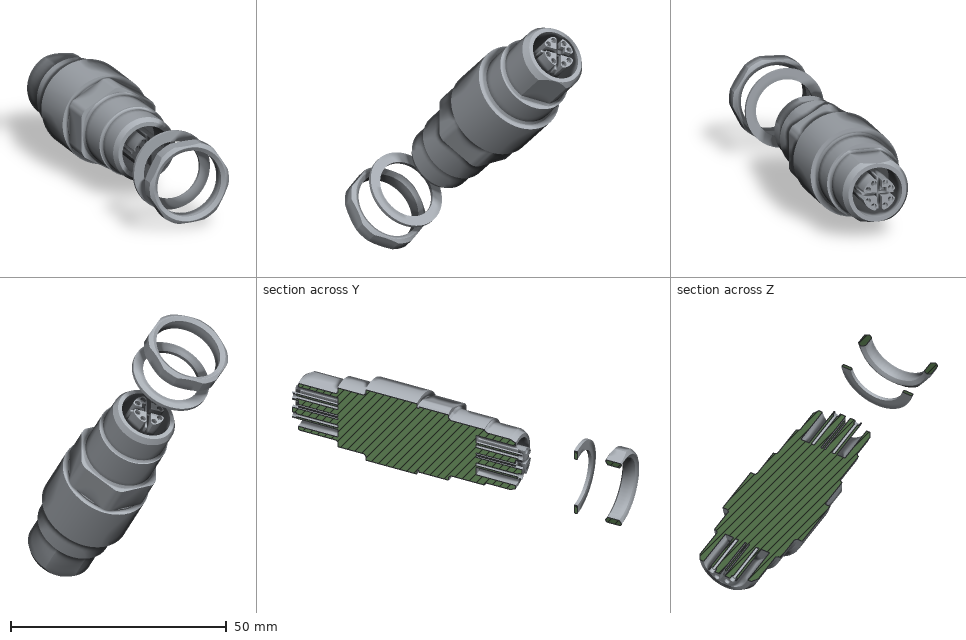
import cadquery as cq
import math

CORE_PROTRUSION = 1.6
NOSE_START = CORE_PROTRUSION
NOSE_CHAMFER_END = 3.1
SHOULDER_START = 11.5
BARREL_START = 18.5
BARREL_END = 31.45
HEX_START = 31.9
HEX_END = 39.4
THREAD_END = 48.5
TAIL_CHAMFER_START = 54.95
TAIL_END = 56.35
HOUSING_MIDDLE = (NOSE_START + TAIL_END) / 2

NOSE_DIAMETER = 15.9
SHOULDER_DIAMETER = 18.0
BARREL_DIAMETER = 21.5
NECK_DIAMETER = 19.0
THREAD_DIAMETER = 17.0
TAIL_DIAMETER = 15.5
END_FACE_DIAMETER = 14.0
SOCKET_DIAMETER = 12.0
SOCKET_DEPTH = 10.0

FOOT_SIZE = 0.5
FOOT_SLOPE = 45

NOSE_FLAT_WIDTH = 14.1
HEX_WIDTH = 18.5
HEX_CORNER_WIDTH = 20.5
HEX_CORNER_FILLET = 1.7

CORE_DIAMETER = 8.0
SLOT_WIDTH = 1.2
SLOT_MOUTH_BEVEL = 0.5
SHIELD_WIDTH = 7.8
SHIELD_THICKNESS = 0.5
KEY_NOTCH_EDGE = 1.7
CONTACT_NEAR = 1.37
CONTACT_FAR = 2.7
CONTACT_DIAMETER = 1.3
CONTACT_DEPTH = 1.0
CONTACT_HOLE_DIAMETER = 0.72

WASHER_START = 71.05
WASHER_THICKNESS = 0.8
WASHER_OUTER_DIAMETER = 19.0
WASHER_INNER_DIAMETER = 14.0

NUT_END = 83.0
NUT_THICKNESS = 4.15
NUT_WIDTH = 18.75
NUT_CORNER_DIAMETER = 19.8
NUT_FACE_DIAMETER = 18.0
NUT_CHAMFER_LENGTH = 0.6
NUT_TURN = 3.0
NUT_BORE_DIAMETER = 15.9
NUT_MOUTH_DIAMETER = 17.85
NUT_MOUTH_LENGTH = 0.6


def plane_at(x):
    """Workplane across the axis: local x is Y, local y is Z, and it extrudes toward +X."""
    return cq.Workplane("YZ", origin=(x, 0, 0))


def turn(body, angle):
    """Rotate a body about the X axis."""
    return body.rotate((0, 0, 0), (1, 0, 0), angle)


def cylinder(start, end, diameter):
    return plane_at(start).circle(diameter / 2).extrude(end - start)


def cone(start, end, start_diameter, end_diameter):
    """Truncated cone about X."""
    profile = [(start, 0), (end, 0), (end, end_diameter / 2), (start, start_diameter / 2)]
    return cq.Workplane("XY").polyline(profile).close().revolve(360, (0, 0, 0), (1, 0, 0))


def rising_foot(end, diameter):
    """Cone that widens toward +X up to the step at `end`."""
    return cone(end - FOOT_SIZE, end, diameter, diameter + 2 * FOOT_SIZE)


def falling_foot(start, diameter):
    """Cone that narrows toward +X from the step at `start`."""
    return cone(start, start + FOOT_SIZE, diameter + 2 * FOOT_SIZE, diameter)


def hexagon(start, end, width):
    """Hexagonal bar with two of its flats facing along Z."""
    return plane_at(start).polygon(6, width / math.cos(math.pi / 6)).extrude(end - start)


def make_nose():
    """Front sleeve with two flats, a chamfered mouth and a foot that follows the flats."""
    sleeve = cone(NOSE_START, NOSE_CHAMFER_END, END_FACE_DIAMETER, NOSE_DIAMETER)
    sleeve = sleeve.union(cylinder(NOSE_CHAMFER_END, SHOULDER_START, NOSE_DIAMETER))
    flats_width = 2 * NOSE_DIAMETER
    sleeve_length = SHOULDER_START - NOSE_START
    flats = plane_at(NOSE_START).rect(flats_width, NOSE_FLAT_WIDTH).extrude(sleeve_length)

    foot_plane = plane_at(SHOULDER_START - FOOT_SIZE)
    foot_flats = foot_plane.rect(flats_width, NOSE_FLAT_WIDTH).extrude(FOOT_SIZE, taper=-FOOT_SLOPE)
    foot = rising_foot(SHOULDER_START, NOSE_DIAMETER).intersect(foot_flats)
    return sleeve.intersect(flats).union(foot)


def make_hex_collar():
    """Hexagon with two flats facing along Y and its corners cut off and rounded."""
    flats = turn(hexagon(HEX_START, HEX_END, HEX_WIDTH), 30)
    corner_cuts = hexagon(HEX_START, HEX_END, HEX_CORNER_WIDTH)
    return flats.intersect(corner_cuts).edges("|X").fillet(HEX_CORNER_FILLET)


def make_slot_arm(length):
    """One arm of the cross slot, reaching from the axis toward +Z and widening at its mouth."""
    half_slot = SLOT_WIDTH / 2
    half_mouth = half_slot + SLOT_MOUTH_BEVEL
    mouth_height = math.sqrt((CORE_DIAMETER / 2) ** 2 - half_mouth ** 2)
    bevel_foot = mouth_height - SLOT_MOUTH_BEVEL
    right_side = [
        (half_slot, 0),
        (half_slot, bevel_foot),
        (half_mouth, mouth_height),
        (half_mouth, CORE_DIAMETER),
    ]
    left_side = [(-y, z) for y, z in reversed(right_side)]
    return plane_at(0).polyline(right_side + left_side).close().extrude(length)


def make_core():
    """Contact core of the front socket: four quarters with two contacts each, around a shield cross."""
    length = CORE_PROTRUSION + SOCKET_DEPTH
    core = cylinder(0, length, CORE_DIAMETER)
    slot_arm = make_slot_arm(length)
    for angle in (0, 90, 180, 270):
        core = core.cut(turn(slot_arm, angle))

    notch_middle = KEY_NOTCH_EDGE / 2
    notch = plane_at(0).center(-notch_middle, notch_middle).rect(KEY_NOTCH_EDGE, KEY_NOTCH_EDGE)
    core = core.cut(notch.extrude(CORE_PROTRUSION))

    shield = plane_at(NOSE_START).rect(SHIELD_WIDTH, SHIELD_THICKNESS).extrude(SOCKET_DEPTH)
    core = core.union(shield).union(turn(shield, 90))

    contacts = [
        (side_y * y, side_z * z)
        for side_y in (-1, 1)
        for side_z in (-1, 1)
        for y, z in ((CONTACT_NEAR, CONTACT_FAR), (CONTACT_FAR, CONTACT_NEAR))
    ]
    core = core.cut(plane_at(0).pushPoints(contacts).circle(CONTACT_DIAMETER / 2).extrude(CONTACT_DEPTH))
    return core.cut(plane_at(0).pushPoints(contacts).circle(CONTACT_HOLE_DIAMETER / 2).extrude(length))


def make_housing():
    """Stepped body with a socket and a contact core at both ends."""
    sections = [
        cylinder(SHOULDER_START, BARREL_START, SHOULDER_DIAMETER),
        rising_foot(BARREL_START, SHOULDER_DIAMETER),
        cylinder(BARREL_START, BARREL_END, BARREL_DIAMETER),
        cylinder(BARREL_END, HEX_START, NECK_DIAMETER),
        make_hex_collar(),
        falling_foot(HEX_END, THREAD_DIAMETER),
        cylinder(HEX_END, THREAD_END, THREAD_DIAMETER),
        falling_foot(THREAD_END, TAIL_DIAMETER),
        cylinder(THREAD_END, TAIL_CHAMFER_START, TAIL_DIAMETER),
        cone(TAIL_CHAMFER_START, TAIL_END, TAIL_DIAMETER, END_FACE_DIAMETER),
    ]
    body = make_nose()
    for section in sections:
        body = body.union(section)

    body = body.cut(cylinder(NOSE_START, NOSE_START + SOCKET_DEPTH, SOCKET_DIAMETER))
    body = body.cut(cylinder(TAIL_END - SOCKET_DEPTH, TAIL_END, SOCKET_DIAMETER))
    front_core = make_core()
    rear_core = front_core.mirror("YZ", (HOUSING_MIDDLE, 0, 0))
    return body.union(front_core).union(rear_core)


def make_washer():
    washer_end = WASHER_START + WASHER_THICKNESS
    disc = cylinder(WASHER_START, washer_end, WASHER_OUTER_DIAMETER)
    return disc.cut(cylinder(WASHER_START, washer_end, WASHER_INNER_DIAMETER))


def make_nut():
    """Hexagon nut turned round at its corners, with both faces and both bore mouths chamfered."""
    nut_start = NUT_END - NUT_THICKNESS
    rim_start = nut_start + NUT_CHAMFER_LENGTH
    rim_end = NUT_END - NUT_CHAMFER_LENGTH
    blank = cone(nut_start, rim_start, NUT_FACE_DIAMETER, NUT_CORNER_DIAMETER)
    blank = blank.union(cylinder(rim_start, rim_end, NUT_CORNER_DIAMETER))
    blank = blank.union(cone(rim_end, NUT_END, NUT_CORNER_DIAMETER, NUT_FACE_DIAMETER))
    body = blank.intersect(turn(hexagon(nut_start, NUT_END, NUT_WIDTH), NUT_TURN))

    body = body.cut(cylinder(nut_start, NUT_END, NUT_BORE_DIAMETER))
    body = body.cut(cone(nut_start, nut_start + NUT_MOUTH_LENGTH, NUT_MOUTH_DIAMETER, NUT_BORE_DIAMETER))
    return body.cut(cone(NUT_END - NUT_MOUTH_LENGTH, NUT_END, NUT_BORE_DIAMETER, NUT_MOUTH_DIAMETER))


housing = make_housing()
washer = make_washer()
nut = make_nut()
result = cq.Compound.makeCompound([housing.val(), washer.val(), nut.val()])